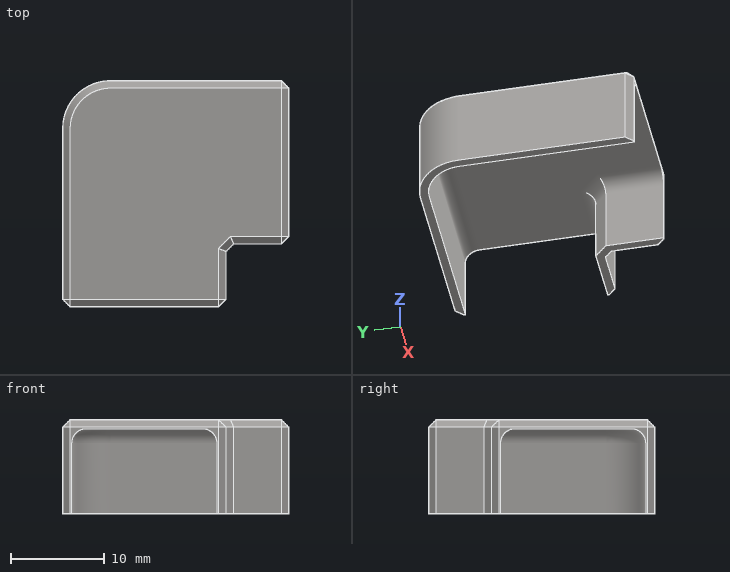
import cadquery as cq
import math


SIDE = 24.3
HEIGHT = 10.1
ARM_WIDTH = 17.55
WALL = 0.98
CORNER_RADIUS = 5.15
CHAMFER = 0.81
CAVITY_FILLET = 1.55
OVERCUT = 5.0

INNER_Y = SIDE - ARM_WIDTH


def elbow_prism(inset, overrun, height):
    """L-shaped prism with its walls moved inward by inset and its ends outward by overrun."""
    left = inset
    back = SIDE - inset
    right = SIDE + overrun
    front = -overrun
    inner_x = ARM_WIDTH - inset
    inner_y = INNER_Y + inset
    radius = CORNER_RADIUS - inset
    corner_leg = CHAMFER + inset * (2 - math.sqrt(2))
    arc_setback = radius * (1 - math.sqrt(0.5))
    return (
        cq.Workplane("XY")
        .moveTo(left, front)
        .lineTo(inner_x, front)
        .lineTo(inner_x, inner_y - corner_leg)
        .lineTo(inner_x + corner_leg, inner_y)
        .lineTo(right, inner_y)
        .lineTo(right, back)
        .lineTo(left + radius, back)
        .threePointArc(
            (left + arc_setback, back - arc_setback),
            (left, back - radius),
        )
        .close()
        .extrude(height)
    )


def outer_body():
    """Solid hood with the roof edges and the arm-end corners chamfered together."""
    body = elbow_prism(0, 0, HEIGHT)
    front_end_corners = body.faces("<Y").edges("|Z")
    right_end_corners = body.faces(">X").edges("|Z")
    roof_edges = body.faces(">Z").edges()
    return body.newObject(
        roof_edges.vals() + front_end_corners.vals() + right_end_corners.vals()
    ).chamfer(CHAMFER)


def cavity():
    """Channel through both arms, rounded where its walls meet the roof."""
    channel = elbow_prism(WALL, OVERCUT, HEIGHT - WALL)
    open_ends = (
        channel.faces(">Z").edges("<Y").vals()
        + channel.faces(">Z").edges(">X").vals()
    )
    wall_edges = [
        edge
        for edge in channel.faces(">Z").edges().vals()
        if not any(edge.isSame(end) for end in open_ends)
    ]
    return channel.newObject(wall_edges).fillet(CAVITY_FILLET)


result = outer_body().cut(cavity())